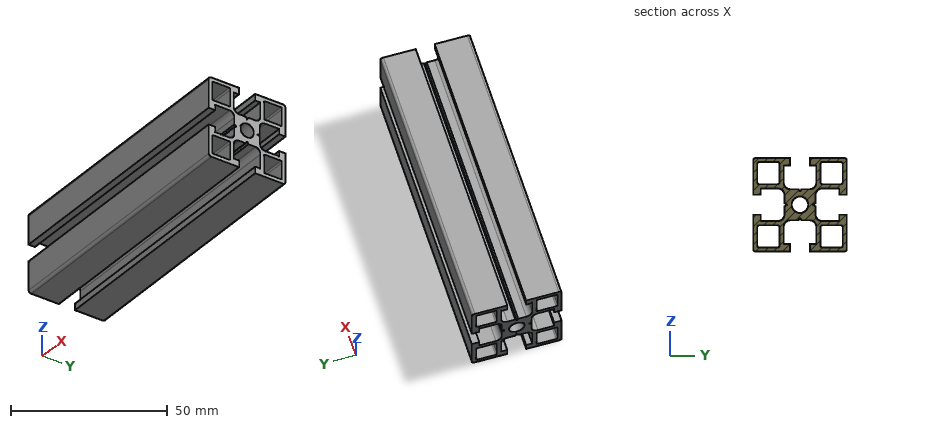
import cadquery as cq

length = 100.0
side = 30.0
half_side = side / 2
outer_corner_radius = 1.0

slot_opening = 6.3
lip_thickness = 2.5
slot_inner_width = 10.3
slot_floor_height = 5.0
slot_floor_radius = 2.0
chamber_height = half_side - lip_thickness - slot_floor_height

groove_width = 1.0
groove_depth = 0.8

bore_diameter = 5.2

outer_wall = 1.4
hollow_side = 7.0
hollow_radius = 0.5
hollow_offset = half_side - outer_wall - hollow_side / 2


def bar(width, height, center_y=0.0, center_z=0.0):
    """Rectangular bar over the full length, centered at a place in the YZ plane."""
    return (
        cq.Workplane("YZ")
        .center(center_y, center_z)
        .rect(width, height)
        .extrude(length / 2, both=True)
    )


def make_blank():
    return bar(side, side).edges("|X").fillet(outer_corner_radius)


def make_slot():
    """Cutter for the T-slot that opens on the +Z side, with its floor groove."""
    chamber_center = slot_floor_height + chamber_height / 2
    chamber = bar(slot_inner_width, chamber_height, center_z=chamber_center)
    chamber = chamber.edges("|X and <Z").fillet(slot_floor_radius)
    opening = bar(slot_opening, lip_thickness, center_z=half_side - lip_thickness / 2)
    groove = (
        cq.Workplane("YZ")
        .moveTo(-groove_width / 2, slot_floor_height)
        .lineTo(0, slot_floor_height - groove_depth)
        .lineTo(groove_width / 2, slot_floor_height)
        .close()
        .extrude(length / 2, both=True)
    )
    return chamber.union(opening).union(groove)


def make_bore():
    return cq.Workplane("YZ").circle(bore_diameter / 2).extrude(length / 2, both=True)


def make_hollow(center_y, center_z):
    hollow = bar(hollow_side, hollow_side, center_y, center_z)
    return hollow.edges("|X").fillet(hollow_radius)


result = make_blank().cut(make_bore())

slot = make_slot()
for angle in (0, 90, 180, 270):
    result = result.cut(slot.rotate((0, 0, 0), (1, 0, 0), angle))

for y_sign in (-1, 1):
    for z_sign in (-1, 1):
        result = result.cut(make_hollow(y_sign * hollow_offset, z_sign * hollow_offset))